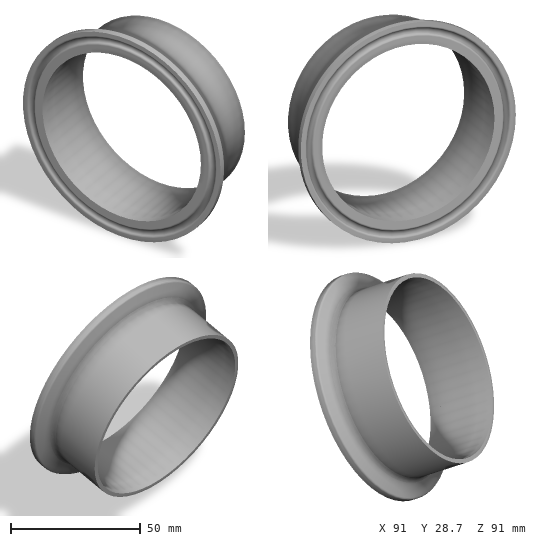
import cadquery as cq
import math

length = 28.7
bore_radius = 72.9 / 2
tube_radius = 76.2 / 2
flange_radius = 91.0 / 2

taper_angle = math.radians(20)
rim_thickness = 2.85
neck_fillet = 2.0
rim_fillet = 0.85

groove_center_radius = 83.5 / 2
groove_half_width = 1.95
groove_wall_slope = math.radians(70)
groove_bottom_radius = 1.13
groove_lip_radius = 0.8

face_y = -length / 2


def revolve_section(section):
    """Revolve a closed XY section a full turn about the Y axis."""
    return section.close().revolve(360, (0, 0, 0), (0, 1, 0))


def ferrule_body():
    """Tube and flange, with the neck and the back of the rim rounded."""
    rim_y = face_y + rim_thickness
    neck_y = rim_y + (flange_radius - tube_radius) * math.tan(taper_angle)
    section = (
        cq.Workplane("XY")
        .moveTo(bore_radius, face_y)
        .lineTo(flange_radius, face_y)
        .lineTo(flange_radius, rim_y)
        .lineTo(tube_radius, neck_y)
        .lineTo(tube_radius, face_y + length)
        .lineTo(bore_radius, face_y + length)
    )
    body = revolve_section(section)
    outer_edges = cq.selectors.RadiusNthSelector(-1)
    body = body.edges(outer_edges).edges(">Y").fillet(rim_fillet)
    neck_edge = cq.selectors.BoxSelector(
        (-flange_radius, neck_y - neck_fillet / 2, -flange_radius),
        (flange_radius, neck_y + neck_fillet / 2, flange_radius),
    )
    return body.edges(neck_edge).fillet(neck_fillet)


def gasket_groove():
    """Ring to cut: lip arc, straight wall and bottom arc, mirrored about the groove center."""
    sin_wall = math.sin(groove_wall_slope)
    cos_wall = math.cos(groove_wall_slope)
    sin_half = math.sin(groove_wall_slope / 2)
    cos_half = math.cos(groove_wall_slope / 2)

    lip_end = groove_half_width - groove_lip_radius * sin_wall
    lip_depth = groove_lip_radius * (1 - cos_wall)
    bottom_start = groove_bottom_radius * sin_wall
    wall_depth = (lip_end - bottom_start) * math.tan(groove_wall_slope)
    bottom_start_depth = lip_depth + wall_depth
    groove_depth = bottom_start_depth + groove_bottom_radius * (1 - cos_wall)

    lip_middle = groove_half_width - groove_lip_radius * sin_half
    lip_middle_depth = groove_lip_radius * (1 - cos_half)

    def point(offset, depth):
        return (groove_center_radius + offset, face_y + depth)

    section = (
        cq.Workplane("XY")
        .moveTo(*point(-groove_half_width, 0))
        .threePointArc(point(-lip_middle, lip_middle_depth), point(-lip_end, lip_depth))
        .lineTo(*point(-bottom_start, bottom_start_depth))
        .threePointArc(point(0, groove_depth), point(bottom_start, bottom_start_depth))
        .lineTo(*point(lip_end, lip_depth))
        .threePointArc(point(lip_middle, lip_middle_depth), point(groove_half_width, 0))
    )
    return revolve_section(section)


result = ferrule_body().cut(gasket_groove())